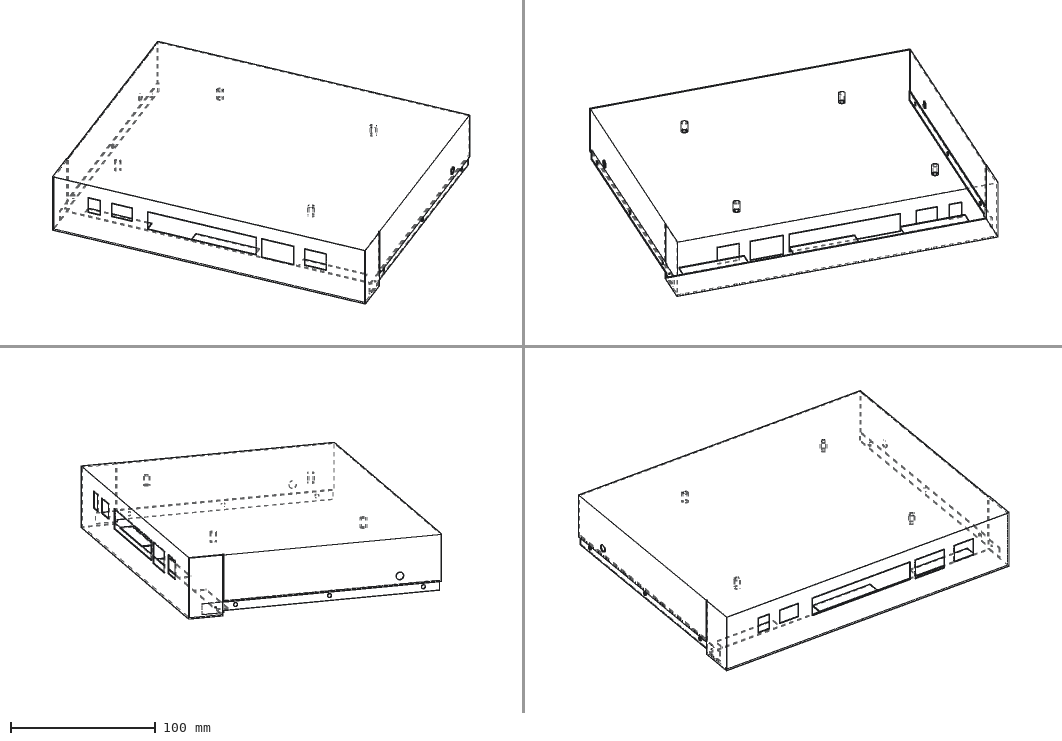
import cadquery as cq

length = 235.0
depth = 184.0
height = 44.5
sheet = 0.8

hood_depth = 25.0
relief_slit = 1.0
bend_radius = 1.0

side_bottom = 9.9
flange_bottom = 3.5
flange_rear_setback = 1.0
flange_hole_diameter = 2.8
flange_hole_height = 7.0
flange_hole_first_y = 34.5
flange_hole_count = 3
flange_hole_pitch = 68.5

flange_tab_front = 10.0
flange_tab_bottom = 2.0
tab_hole_diameter = 1.0
tab_hole_y = 20.0
tab_hole_height = 6.3

side_hole_diameter = 5.5
side_hole_y = 154.0
side_hole_height = 16.7

opening_top = 33.5
openings = [
    (26.5, 9.2, 12.0),
    (44.5, 15.3, 10.8),
    (71.5, 81.3, 14.3),
    (157.0, 24.2, 15.3),
    (189.5, 16.0, 13.5),
]

floor_tab_width = 47.7
floor_tab_pitch = 80.8
floor_tab_end = 33.0

stud_diameter = 4.7
stud_hole_diameter = 2.8
stud_length = 7.0
stud_centres = [(33.4, 36.7), (178.5, 36.7), (63.5, 146.2), (178.5, 146.2)]


def box(x, y, z):
    """Box given by its (start, end) range along each axis."""
    size = [end - start for start, end in (x, y, z)]
    return cq.Workplane("XY").box(*size, centered=False).translate((x[0], y[0], z[0]))


def cross_hole(diameter, y, z):
    """Cutter along X that passes through both sides of the lid."""
    return cq.Workplane("YZ").center(y, z).circle(diameter / 2).extrude(length)


def make_hood():
    outer = box((0, length), (0, hood_depth), (0, height))
    inner = box((sheet, length - sheet), (sheet, hood_depth), (sheet, height - sheet))
    hood = outer.cut(inner)
    for left, width, opening_height in openings:
        opening = box((left, left + width), (0, sheet), (opening_top - opening_height, opening_top))
        hood = hood.cut(opening)
    return hood


def make_rear_cover():
    """Top sheet and side walls behind the hood, with rounded upper bends."""
    rear_start = hood_depth + relief_slit
    outer = box((0, length), (rear_start, depth), (side_bottom, height)).edges("|Y and >Z").fillet(bend_radius)
    inner = box((sheet, length - sheet), (rear_start, depth), (side_bottom, height - sheet))
    bridge = box((sheet, length - sheet), (hood_depth, rear_start), (height - sheet, height))
    return outer.cut(inner).union(bridge)


def make_side_flange(left_x):
    """Inset flange, one sheet thick, that starts at left_x and touches the inner face of a side wall."""
    x = (left_x, left_x + sheet)
    joint_top = side_bottom + sheet
    rear_y = (hood_depth + relief_slit, depth - flange_rear_setback)
    flange = box(x, rear_y, (flange_bottom, joint_top))
    front_tab = box(x, (flange_tab_front, rear_y[0]), (flange_tab_bottom, side_bottom))
    return flange.union(front_tab).cut(cross_hole(tab_hole_diameter, tab_hole_y, tab_hole_height))


def make_floor_tab(centre_x):
    x = (centre_x - floor_tab_width / 2, centre_x + floor_tab_width / 2)
    return box(x, (hood_depth - sheet, floor_tab_end), (sheet, 2 * sheet))


def make_studs():
    studs = cq.Workplane("XY", origin=(0, 0, height - sheet - stud_length)).pushPoints(stud_centres)
    return studs.circle(stud_diameter / 2).circle(stud_hole_diameter / 2).extrude(stud_length)


lid = make_hood().union(make_rear_cover()).union(make_studs())

for flange_x in (sheet, length - 2 * sheet):
    lid = lid.union(make_side_flange(flange_x))

for step in (-1, 0, 1):
    lid = lid.union(make_floor_tab(length / 2 + step * floor_tab_pitch))

lid = lid.cut(cross_hole(side_hole_diameter, side_hole_y, side_hole_height))
for index in range(flange_hole_count):
    hole_y = flange_hole_first_y + index * flange_hole_pitch
    lid = lid.cut(cross_hole(flange_hole_diameter, hole_y, flange_hole_height))

result = lid